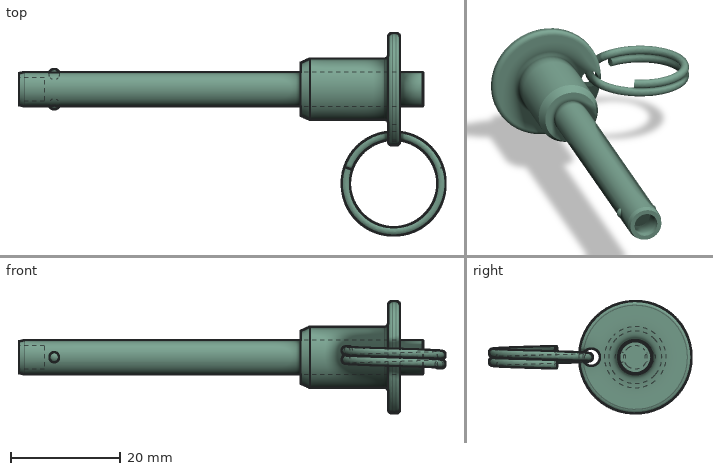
import cadquery as cq
import math


shaft_diameter = 6.3
shaft_length = 74.15
tip_chamfer_length = 1.0
tip_chamfer_depth = 0.2
button_chamfer = 0.2
bore_diameter = 4.3
bore_depth = 4.7

ball_diameter = 1.95
ball_x = 6.5
ball_protrusion = 0.55
ball_offset = shaft_diameter / 2 + ball_protrusion - ball_diameter / 2

handle_start_x = 51.6
handle_diameter = 11.3
handle_chamfer_length = 1.7
handle_chamfer_depth = 0.8
neck_fillet = 0.6
flange_start_x = 67.65
flange_thickness = 2.2
flange_diameter = 20.65
flange_edge_fillet = 0.8
ring_hole_diameter = 3.1
ring_hole_y = -8.05

overall_length = 78.2
wire_diameter = 1.6
ring_outer_diameter = 19.1
coil_radius = (ring_outer_diameter - wire_diameter) / 2
coil_pitch = 1.65
ring_end_angle = 18.5
ring_turns = (360 + 180 + 2 * ring_end_angle) / 360
ring_center_x = overall_length - ring_outer_diameter / 2
ring_center_y = -17.3


def cylinder_x(start_x, diameter, length):
    """Cylinder along +X on the pin axis."""
    return cq.Workplane("YZ", origin=(start_x, 0, 0)).circle(diameter / 2).extrude(length)


def make_ball(side):
    """Locking ball on the +Y (side = 1) or -Y (side = -1) side of the shaft."""
    return cq.Workplane("XY").sphere(ball_diameter / 2).translate((ball_x, side * ball_offset, 0))


def make_shaft(balls):
    """Shaft running through the handle to the push button, with a blind tip bore and ball seats."""
    radius = shaft_diameter / 2
    profile = [
        (0, 0),
        (0, radius - tip_chamfer_depth),
        (tip_chamfer_length, radius),
        (shaft_length - button_chamfer, radius),
        (shaft_length, radius - button_chamfer),
        (shaft_length, 0),
    ]
    shaft = cq.Workplane("XY").polyline(profile).close().revolve(360, (0, 0, 0), (1, 0, 0))
    shaft = shaft.cut(cylinder_x(0, bore_diameter, bore_depth))
    for ball in balls:
        shaft = shaft.cut(ball)
    return shaft


def make_handle():
    """Chamfered sleeve blending into a round-edged flange, bored for the shaft and the ring."""
    sleeve_radius = handle_diameter / 2
    flange_radius = flange_diameter / 2
    flange_end_x = flange_start_x + flange_thickness
    arc_middle = 1 - math.sqrt(0.5)
    profile = (
        cq.Workplane("XY")
        .moveTo(handle_start_x, 0)
        .lineTo(handle_start_x, sleeve_radius - handle_chamfer_depth)
        .lineTo(handle_start_x + handle_chamfer_length, sleeve_radius)
        .lineTo(flange_start_x - neck_fillet, sleeve_radius)
        .threePointArc(
            (flange_start_x - neck_fillet * arc_middle, sleeve_radius + neck_fillet * arc_middle),
            (flange_start_x, sleeve_radius + neck_fillet),
        )
        .lineTo(flange_start_x, flange_radius - flange_edge_fillet)
        .threePointArc(
            (flange_start_x + flange_edge_fillet * arc_middle, flange_radius - flange_edge_fillet * arc_middle),
            (flange_start_x + flange_edge_fillet, flange_radius),
        )
        .lineTo(flange_end_x - flange_edge_fillet, flange_radius)
        .threePointArc(
            (flange_end_x - flange_edge_fillet * arc_middle, flange_radius - flange_edge_fillet * arc_middle),
            (flange_end_x, flange_radius - flange_edge_fillet),
        )
        .lineTo(flange_end_x, 0)
        .close()
    )
    handle = profile.revolve(360, (0, 0, 0), (1, 0, 0))
    handle = handle.cut(cylinder_x(0, shaft_diameter, shaft_length))
    ring_hole = cylinder_x(flange_start_x, ring_hole_diameter, flange_thickness)
    return handle.cut(ring_hole.translate((0, ring_hole_y, 0)))


def make_ring():
    """Left-handed wire coil, centred in height on the pin axis and passing through the flange hole."""
    coil_height = coil_pitch * ring_turns
    path = cq.Wire.makeHelix(coil_pitch, coil_height, coil_radius, lefthand=True)
    wire_section = cq.Workplane("XZ").center(coil_radius, 0).circle(wire_diameter / 2)
    ring = wire_section.sweep(cq.Workplane(obj=path), isFrenet=True)
    ring = ring.rotate((0, 0, 0), (0, 0, 1), ring_end_angle)
    return ring.translate((ring_center_x, ring_center_y, -coil_height / 2))


balls = [make_ball(side) for side in (1, -1)]
shaft = make_shaft(balls)
handle = make_handle()
ring = make_ring()

result = cq.Compound.makeCompound([shaft.val(), handle.val(), ring.val(), *[ball.val() for ball in balls]])